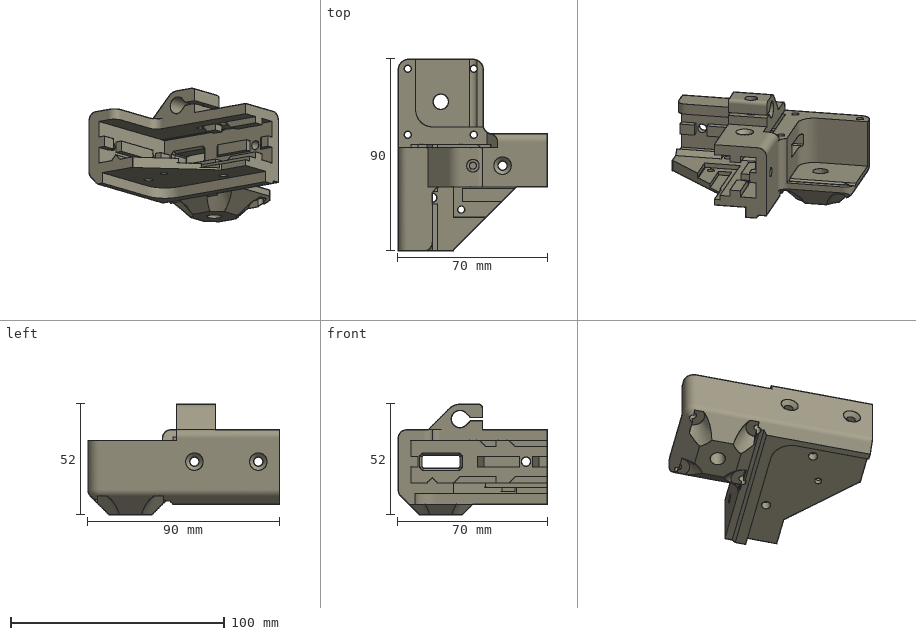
import cadquery as cq
import math


length_x = 70.0
top_z = 40.0
frame_bottom_z = 5.0
side_wall = 6.0
plate = 5.0
profile = 20.0
corner_radius = 4.0

floor_z = frame_bottom_z + 2 * plate
ceiling_z = floor_z + profile
channel_mid_z = floor_z + profile / 2
channel_end_x = side_wall + profile
channel_mid_x = side_wall + profile / 2
cross_front_y = 30.0
cross_back_y = cross_front_y + profile
cross_mid_y = cross_front_y + profile / 2
wall_back_y = cross_back_y + plate
diagonal_start_y = 0.5
diagonal_end_x = channel_end_x + cross_front_y - diagonal_start_y

rib_width = 5.0
rib_height = 3.0
side_rib_height = 3.2
vee_height = 2.5
rib_gap = 6.0
screw_diameter = 4.2
countersink_diameter = 8.2

wall_screw_ys = (10.0, cross_mid_y)
vee_screw_y = 25.0
plate_screw_x = 49.0
back_screw_x = 60.0
top_rib_x = 38.2
back_rib_x = 37.2

foot_side_width = 8.0
foot_back_width = 5.0
foot_fillet = 10.0

motor_side = 40.0
motor_rear_y = cross_back_y + motor_side
motor_mid_x = motor_side / 2
motor_mid_y = cross_back_y + motor_side / 2
motor_wall = 8.2
motor_pocket_radius = 8.0
motor_floor_z = 13.0
trough_mid_x = 35.2
trough_width = 3.6
trough_radius = 2.5
motor_corner_radius = 5.0
taper_height = 10.0
motor_screw_pitch = 31.0
motor_screw_diameter = 3.2
motor_shaft_diameter = 7.1
screw_access_height = 8.9
screw_access_base_radius = 11.7
screw_access_top_radius = 5.4
groove_top_z = 6.5
top_step_y = 48.5
top_step_x = 41.7
step_notch_x = 43.5
step_notch_z = 36.6

window_width = 17.8
window_height = 6.0
window_mid_x = 20.1
window_flare = 1.1
window_corner = 1.3

rod_x = 29.0
rod_z = 45.0
rod_diameter = 8.0
clamp_radius = 7.0
clamp_end_x = 39.6
clamp_edge_radius = 1.9
clamp_slot = 1.4
clamp_screw_x = 35.1
clamp_screw_diameter = 3.3
clamp_bore_diameter = 5.9
clamp_bore_depth = 3.0

seat_y = 15.6
seat_step_y = 15.95
seat_step_z = 12.85
seat_back_y = 32.7
seat_z = 13.0
recess_x = 30.1
recess_y = 23.3
recess_back_y = 29.4
recess_z = 11.0
seat_screw = (29.6, 19.4)
seat_screw_diameter = 3.2

SIN_45 = math.sqrt(0.5)
HALF_BEND = math.pi / 8
round_tangent = corner_radius * math.tan(HALF_BEND)


def box(x0, x1, y0, y1, z0, z1):
    """Axis-aligned block between two corners."""
    return cq.Workplane("XY").box(x1 - x0, y1 - y0, z1 - z0, centered=False).translate((x0, y0, z0))


def prism_y(points, y0, y1):
    """Outline in X and Z, extruded along Y."""
    return cq.Workplane("XZ").polyline(points).close().extrude(y0 - y1).translate((0, y0, 0))


def prism_x(points, x0, x1):
    """Outline in Y and Z, extruded along X."""
    return cq.Workplane("YZ").polyline(points).close().extrude(x1 - x0).translate((x0, 0, 0))


def prism_z(points, z0, z1):
    """Outline in X and Y, extruded along Z."""
    return cq.Workplane("XY").polyline(points).close().extrude(z1 - z0).translate((0, 0, z0))


def cylinder(start, direction, diameter, depth):
    """Cylinder growing from its start point along a direction."""
    return cq.Workplane(cq.Solid.makeCylinder(diameter / 2, depth, cq.Vector(*start), cq.Vector(*direction)))


def countersunk_hole(start, direction, depth):
    """Screw hole with a 90 degree countersink at its start."""
    sink = (countersink_diameter - screw_diameter) / 2
    cone = cq.Solid.makeCone(
        countersink_diameter / 2, screw_diameter / 2, sink, cq.Vector(*start), cq.Vector(*direction)
    )
    return cylinder(start, direction, screw_diameter, depth).union(cq.Workplane(cone))


def edge_round():
    """Start of a section through a lower edge: the round from the side at x = 0 into the taper."""
    arc_start = (0, taper_height + round_tangent)
    arc_mid = (
        corner_radius * (1 - math.cos(HALF_BEND)),
        arc_start[1] - corner_radius * math.sin(HALF_BEND),
    )
    arc_end = (round_tangent * SIN_45, taper_height - round_tangent * SIN_45)
    return cq.Workplane("XZ").moveTo(*arc_start).threePointArc(arc_mid, arc_end)


def edge_cutter(length):
    """Removes a lower edge along Y at 45 degrees."""
    return edge_round().lineTo(taper_height, 0).lineTo(0, 0).close().extrude(-length)


def lower_edges():
    """Tapered lower edges on the left side and at the rear, turning round the corner between them."""
    rear = edge_cutter(motor_side).rotate((0, 0, 0), (0, 0, 1), -90).translate((0, motor_rear_y, 0))

    centre = motor_corner_radius
    round_top_z = taper_height + round_tangent
    tip_z = taper_height - centre
    kept_corner = (
        edge_round()
        .lineTo(centre, tip_z)
        .lineTo(centre, round_top_z)
        .close()
        .revolve(360, (centre, 0), (centre, 1))
        .translate((0, motor_rear_y - centre, 0))
    )
    corner = box(0, centre, motor_rear_y - centre, motor_rear_y, tip_z, round_top_z).cut(kept_corner)
    return edge_cutter(motor_rear_y).union(rear).union(corner)


def frame():
    """Walls and plates around the two crossing channels."""
    side = box(0, side_wall, 0, cross_back_y, floor_z - plate, top_z)
    bottom = prism_z(
        [
            (0, 0),
            (channel_end_x, 0),
            (channel_end_x, diagonal_start_y),
            (diagonal_end_x, cross_front_y),
            (length_x, cross_front_y),
            (length_x, wall_back_y),
            (0, wall_back_y),
        ],
        floor_z - plate,
        floor_z,
    )
    back = box(0, length_x, cross_back_y, wall_back_y, groove_top_z, top_z)
    back = back.edges("|X and >Y and >Z").fillet(corner_radius)
    top_side = box(0, channel_mid_x, 0, cross_front_y, ceiling_z, top_z)
    top_side = top_side.edges("|Z and >X and <Y").fillet(corner_radius)
    top_cross = box(0, length_x, cross_front_y, cross_back_y, ceiling_z, top_z)
    top = top_side.union(top_cross)
    inner_corner = cq.selectors.NearestToPointSelector((channel_mid_x, cross_front_y, ceiling_z + plate / 2))
    top = top.edges("|Z").edges(inner_corner).fillet(corner_radius)
    body = side.union(bottom).union(back).union(top)
    return body.edges("|Y and <X and >Z").fillet(corner_radius)


def foot():
    """L-shaped foot under the side wall and the rear of the bottom plate."""
    front_y = cross_back_y - foot_back_width
    outline = prism_z(
        [
            (0, 0),
            (foot_side_width, 0),
            (foot_side_width, front_y),
            (length_x, front_y),
            (length_x, cross_back_y),
            (0, cross_back_y),
        ],
        frame_bottom_z,
        frame_bottom_z + plate,
    )
    inner_corner = cq.selectors.NearestToPointSelector((foot_side_width, front_y, frame_bottom_z + plate / 2))
    outline = outline.edges("|Z").edges(inner_corner).fillet(foot_fillet)
    rise = groove_top_z - frame_bottom_z
    groove_side = prism_x(
        [
            (cross_back_y, frame_bottom_z),
            (cross_back_y + rise, groove_top_z),
            (cross_back_y, groove_top_z),
        ],
        0,
        length_x,
    )
    return outline.union(groove_side)


def motor_block():
    """Motor mount body with a 45 degree taper underneath."""
    upper = box(0, motor_side, cross_back_y, motor_rear_y, taper_height, ceiling_z)
    taper = (
        cq.Workplane("XY", origin=(motor_mid_x, motor_mid_y, taper_height))
        .rect(motor_side, motor_side)
        .extrude(-taper_height, taper=45)
    )
    block = upper.union(taper)
    rounded = box(0, motor_side, cross_back_y, motor_rear_y, 0, ceiling_z)
    rounded = rounded.edges("|Z and >Y").fillet(motor_corner_radius)
    return block.intersect(rounded)


def wall_fillet():
    """Concave round between the motor mount and the back wall."""
    corner = box(
        motor_side,
        motor_side + corner_radius,
        wall_back_y,
        wall_back_y + corner_radius,
        floor_z - plate,
        ceiling_z,
    )
    round_start = (motor_side + corner_radius, wall_back_y + corner_radius, 0)
    return corner.cut(cylinder(round_start, (0, 0, 1), 2 * corner_radius, top_z))


def motor_pocket():
    """Motor room, open to the rear and to the right, with a shallow trough along its floor."""
    front_y = cross_back_y + motor_wall
    room = box(motor_wall, motor_side + corner_radius, front_y, motor_rear_y, motor_floor_z, ceiling_z)
    room = room.edges("|Z and <X and <Y").fillet(motor_pocket_radius)
    trough_z = motor_floor_z + math.sqrt(trough_radius**2 - (trough_width / 2) ** 2)
    trough = cylinder((trough_mid_x, front_y, trough_z), (0, 1, 0), 2 * trough_radius, motor_rear_y - front_y)
    return room.union(trough)


def motor_holes():
    """Shaft hole, four screw holes and the conical screw access from below."""
    holes = cylinder((motor_mid_x, motor_mid_y, 0), (0, 0, 1), motor_shaft_diameter, top_z)
    half = motor_screw_pitch / 2
    for side_x in (-1, 1):
        for side_y in (-1, 1):
            x = motor_mid_x + side_x * half
            y = motor_mid_y + side_y * half
            holes = holes.union(cylinder((x, y, 0), (0, 0, 1), motor_screw_diameter, top_z))
            cone = cq.Workplane(
                cq.Solid.makeCone(
                    screw_access_base_radius,
                    screw_access_top_radius,
                    screw_access_height,
                    cq.Vector(x, y, 0),
                )
            )
            reach = cq.Workplane("XY").box(motor_side, motor_screw_pitch, 2 * screw_access_height)
            holes = holes.union(cone.intersect(reach.translate((motor_mid_x, motor_mid_y, 0))))
    return holes


def side_ribs():
    """Square rib on the side wall and vee rib on the floor of the Y channel."""
    rib_half = rib_width / 2
    ribs = box(
        0,
        side_wall + side_rib_height,
        0,
        cross_back_y,
        channel_mid_z - rib_half,
        channel_mid_z + rib_half,
    )
    half_gap = rib_gap / 2
    for y in wall_screw_ys:
        ribs = ribs.cut(box(side_wall, channel_mid_x, y - half_gap, y + half_gap, 0, top_z))
    vee = prism_y(
        [
            (channel_mid_x - vee_height, floor_z),
            (channel_mid_x + vee_height, floor_z),
            (channel_mid_x, floor_z + vee_height),
        ],
        0,
        cross_back_y,
    )
    vee_gap = box(0, channel_end_x, vee_screw_y - half_gap, vee_screw_y + half_gap, 0, top_z)
    return ribs.union(vee.cut(vee_gap))


def ramped_rib(start_x, end_x):
    """Rib along X, standing up from z = 0 and centred on y = 0, ramped at its start."""
    outline = [(start_x, 0), (end_x, 0), (end_x, rib_height), (start_x + rib_height, rib_height)]
    return prism_y(outline, -rib_width / 2, rib_width / 2)


def rib_pair(start_x, screw_x):
    """Two ramped ribs with a gap for a screw between them."""
    half_gap = rib_gap / 2
    return ramped_rib(start_x, screw_x - half_gap).union(ramped_rib(screw_x + half_gap, length_x))


def cross_ribs():
    """Ribs on the floor, the ceiling and the back wall of the X channel."""
    origin = (0, 0, 0)
    x_direction = (1, 0, 0)
    floor = rib_pair(channel_end_x, plate_screw_x).translate((0, cross_mid_y, floor_z))
    ceiling = rib_pair(top_rib_x, plate_screw_x).rotate(origin, x_direction, 180)
    ceiling = ceiling.translate((0, cross_mid_y, ceiling_z))
    back = rib_pair(back_rib_x, back_screw_x).rotate(origin, x_direction, 90)
    back = back.translate((0, cross_back_y, channel_mid_z))
    return floor.union(ceiling).union(back)


def frame_holes():
    """Screw holes that fix the bracket to both profiles."""
    holes = countersunk_hole((plate_screw_x, cross_mid_y, top_z), (0, 0, -1), top_z)
    for y in wall_screw_ys:
        holes = holes.union(countersunk_hole((0, y, channel_mid_z), (1, 0, 0), channel_mid_x))
    holes = holes.union(cylinder((channel_mid_x, vee_screw_y, 0), (0, 0, 1), screw_diameter, channel_mid_z))
    back_start = (back_screw_x, cross_front_y, channel_mid_z)
    return holes.union(cylinder(back_start, (0, 1, 0), screw_diameter, wall_back_y))


def cut_corner_outline(width, height, corner):
    """Centred rectangle with 45 degree cut corners, as a list of points."""
    x = width / 2
    z = height / 2
    return [
        (x, z - corner),
        (x - corner, z),
        (corner - x, z),
        (-x, z - corner),
        (-x, corner - z),
        (corner - x, -z),
        (x - corner, -z),
        (x, corner - z),
    ]


def belt_window():
    """Window from the cross channel into the motor room, flared at the front."""
    flare = 2 * window_flare
    mouth_outline = cut_corner_outline(window_width + flare, window_height + flare, window_corner)
    throat_corner = window_corner - window_flare * (2 - math.sqrt(2))
    throat_outline = cut_corner_outline(window_width, window_height, throat_corner)
    front = cq.Workplane("XZ", origin=(window_mid_x, cross_back_y, channel_mid_z))
    mouth = front.polyline(mouth_outline).close().extrude(-window_flare, taper=45)
    throat = front.polyline(throat_outline).close().extrude(-(motor_wall + motor_pocket_radius))
    return mouth.union(throat)


def top_step():
    """Ends the top plate in front of the motor mount, with a 45 degree end on the right."""
    slope = prism_y(
        [(0, ceiling_z), (top_step_x, ceiling_z), (top_step_x + plate, top_z), (0, top_z)],
        top_step_y,
        wall_back_y,
    )
    return slope.union(box(0, step_notch_x, top_step_y, cross_back_y, ceiling_z, step_notch_z))


def rod_clamp():
    """Rod clamp block on the top plate."""
    clamp_top_z = rod_z + clamp_radius
    tangent_x = rod_x - clamp_radius * SIN_45
    tangent_z = rod_z + clamp_radius * SIN_45
    arc_mid = (
        rod_x - clamp_radius * math.sin(HALF_BEND),
        rod_z + clamp_radius * math.cos(HALF_BEND),
    )
    return (
        cq.Workplane("XZ")
        .moveTo(tangent_x - (tangent_z - top_z), top_z)
        .lineTo(tangent_x, tangent_z)
        .threePointArc(arc_mid, (rod_x, clamp_top_z))
        .lineTo(clamp_end_x, clamp_top_z)
        .lineTo(clamp_end_x, top_z)
        .close()
        .extrude(cross_front_y - top_step_y)
        .translate((0, cross_front_y, 0))
        .edges("|Y and >X and >Z")
        .fillet(clamp_edge_radius)
    )


def clamp_cuts():
    """Rod bore with a pointed run-out into the clamp slot, and the clamp screw."""
    bore = cylinder((rod_x, cross_front_y, rod_z), (0, 1, 0), rod_diameter, profile)
    reach = rod_diameter / 2 * SIN_45
    point = prism_y(
        [
            (rod_x, rod_z),
            (rod_x + reach, rod_z + reach),
            (rod_x + 2 * reach, rod_z),
            (rod_x + reach, rod_z - reach),
        ],
        cross_front_y,
        cross_back_y,
    )
    half_slot = clamp_slot / 2
    slot = box(rod_x, clamp_end_x, cross_front_y, cross_back_y, rod_z - half_slot, rod_z + half_slot)
    clamp_top_z = rod_z + clamp_radius
    top_centre = (clamp_screw_x, cross_mid_y, clamp_top_z)
    screw = cylinder(top_centre, (0, 0, -1), clamp_screw_diameter, clamp_top_z - ceiling_z)
    head = cylinder(top_centre, (0, 0, -1), clamp_bore_diameter, clamp_bore_depth)
    return bore.union(point).union(slot).union(screw).union(head)


def switch_seat():
    """Stepped seat for a limit switch, with one screw hole."""
    seat = box(channel_end_x, length_x, seat_y, seat_back_y, seat_z, floor_z)
    step = box(channel_end_x, length_x, seat_step_y, seat_back_y, seat_step_z, floor_z)
    recess = box(recess_x, length_x, recess_y, recess_back_y, recess_z, floor_z)
    hole = cylinder((*seat_screw, 0), (0, 0, 1), seat_screw_diameter, floor_z)
    return seat.union(step).union(recess).union(hole)


result = (
    frame()
    .union(foot())
    .union(motor_block())
    .union(wall_fillet())
    .union(side_ribs())
    .union(cross_ribs())
    .union(rod_clamp())
    .cut(lower_edges())
    .cut(motor_pocket())
    .cut(motor_holes())
    .cut(belt_window())
    .cut(top_step())
    .cut(clamp_cuts())
    .cut(switch_seat())
    .cut(frame_holes())
)